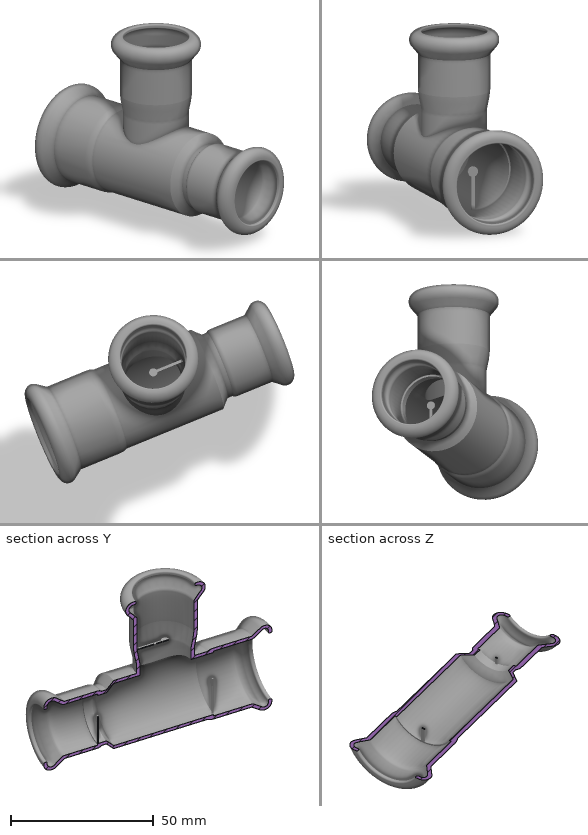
import cadquery as cq
import math

LEFT_END = 42.0
RIGHT_END = 48.0
BRANCH_END = 46.7

TUBE_OD = 30.0
TUBE_BORE = 27.0
BRANCH_OD = 23.0
BRANCH_BORE = 20.0
NECK_OD = 24.0
NECK_BORE = 20.9

NECK_START = 22.8
REDUCER_NARROW_END = 24.7
REDUCER_WIDE_END = 27.6
BRANCH_TAPER_END = 28.7

LARGE_PORT = dict(
    socket_od=31.3, bore=28.2, lip=28.8, rim_od=37.2, rim_end=8.0, stop=22.9,
)
SMALL_PORT = dict(
    socket_od=25.3, bore=22.2, lip=23.1, rim_od=31.6, rim_end=8.1, stop=21.2,
)
LARGE_SHOULDER_END = 25.6
RIM_WALL = 1.5
LIP_ROUND = 0.5
BORE_ENTRY_ROUND = 1.5

MARKER_THICKNESS = 0.5
LARGE_MARKER_DISC = 3.7
LARGE_MARKER_STEM = 1.35
SMALL_MARKER_DISC = 2.9
SMALL_MARKER_STEM = 0.95


def revolve_profile(profile):
    """Close a (depth, radius) profile and turn it about the depth axis."""
    return profile.close().revolve(360, (0, 0, 0), (1, 0, 0))


def cone(start, start_diameter, end, end_diameter):
    """Cone, or cylinder for equal diameters, along the depth axis."""
    profile = cq.Workplane("XY").moveTo(start, 0).lineTo(start, start_diameter / 2)
    return revolve_profile(profile.lineTo(end, end_diameter / 2).lineTo(end, 0))


def to_left(shape):
    return shape.translate((-LEFT_END, 0, 0))


def to_right(shape):
    return shape.rotate((0, 0, 0), (0, 0, 1), 180).translate((RIGHT_END, 0, 0))


def to_branch(shape):
    return shape.rotate((0, 0, 0), (0, 1, 0), 90).translate((0, 0, BRANCH_END))


def rim_geometry(port):
    """Radius of the rolled rim, and the angle on it (from the depth axis) where its cone starts."""
    rim_radius = (port["rim_od"] - port["socket_od"]) / 2
    tangent_angle = math.acos(rim_radius / (port["rim_end"] - rim_radius))
    return rim_radius, tangent_angle


def socket_outside(port):
    """Rolled rim, the cone behind it, and the plain socket up to the pipe stop."""
    rim_radius, angle = rim_geometry(port)
    socket_radius = port["socket_od"] / 2
    profile = (
        cq.Workplane("XY")
        .lineTo(0, socket_radius)
        .threePointArc(
            (rim_radius, socket_radius + rim_radius),
            (rim_radius * (1 + math.cos(angle)), socket_radius + rim_radius * math.sin(angle)),
        )
        .lineTo(port["rim_end"], socket_radius)
        .lineTo(port["stop"], socket_radius)
        .lineTo(port["stop"], 0)
    )
    return revolve_profile(profile)


def shoulder(port, end, end_diameter):
    """Step from the socket to the narrower tube, rounded by an arc tangent to the socket."""
    socket_radius = port["socket_od"] / 2
    length = end - port["stop"]
    drop = socket_radius - end_diameter / 2
    arc_radius = (length**2 + drop**2) / (2 * drop)
    half_angle = math.asin(length / arc_radius) / 2
    arc_middle = (
        port["stop"] + arc_radius * math.sin(half_angle),
        socket_radius - arc_radius * (1 - math.cos(half_angle)),
    )
    profile = (
        cq.Workplane("XY")
        .moveTo(port["stop"], 0)
        .lineTo(port["stop"], socket_radius)
        .threePointArc(arc_middle, (end, end_diameter / 2))
        .lineTo(end, 0)
    )
    return revolve_profile(profile)


def smooth_taper(start, start_diameter, end, end_diameter):
    """S-shaped taper, parallel to the depth axis at both ends."""
    profile = (
        cq.Workplane("XY")
        .moveTo(start, start_diameter / 2)
        .spline([(end, end_diameter / 2)], tangents=[(1, 0), (1, 0)], includeCurrent=True)
        .lineTo(end, 0)
        .lineTo(start, 0)
    )
    return revolve_profile(profile)


def socket_passage(port):
    """Rounded lip, seal groove parallel to the rim, and bore up to the pipe stop."""
    rim_radius, angle = rim_geometry(port)
    socket_radius = port["socket_od"] / 2
    lip_radius = port["lip"] / 2
    bore_radius = port["bore"] / 2
    groove_radius = rim_radius - RIM_WALL

    groove_end = rim_radius + groove_radius * math.cos(angle)
    groove_end_radius = socket_radius + groove_radius * math.sin(angle)
    slope = math.pi / 2 - angle
    bore_start = groove_end + (groove_end_radius - bore_radius) / math.tan(slope)
    trim = BORE_ENTRY_ROUND * math.tan(slope / 2)

    round_offset = LIP_ROUND * (1 - math.sqrt(0.5))
    profile = (
        cq.Workplane("XY")
        .lineTo(0, lip_radius + LIP_ROUND)
        .threePointArc((round_offset, lip_radius + round_offset), (LIP_ROUND, lip_radius))
        .lineTo(RIM_WALL - LIP_ROUND, lip_radius)
        .threePointArc(
            (RIM_WALL - round_offset, lip_radius + round_offset),
            (RIM_WALL, lip_radius + LIP_ROUND),
        )
        .lineTo(RIM_WALL, socket_radius)
        .threePointArc((rim_radius, socket_radius + groove_radius), (groove_end, groove_end_radius))
        .lineTo(bore_start - trim * math.cos(slope), bore_radius + trim * math.sin(slope))
        .tangentArcPoint((bore_start + trim, bore_radius), relative=False)
        .lineTo(port["stop"], bore_radius)
        .lineTo(port["stop"], 0)
    )
    return revolve_profile(profile)


def stop_marker(port, disc_diameter, stem_width):
    """Thin disc and stem just behind the pipe stop; the stem points to local -Z."""
    disc = cone(port["stop"], disc_diameter, port["stop"] + MARKER_THICKNESS, disc_diameter)
    stem = cq.Workplane("XY").box(
        MARKER_THICKNESS, stem_width, port["bore"] / 2, centered=(False, True, False)
    )
    return disc.union(stem.translate((port["stop"], 0, -port["bore"] / 2)))


reducer_start = LEFT_END + RIGHT_END - REDUCER_WIDE_END
branch_stop = SMALL_PORT["stop"]
outside = (
    to_left(socket_outside(LARGE_PORT))
    .union(to_left(shoulder(LARGE_PORT, LARGE_SHOULDER_END, TUBE_OD)))
    .union(to_left(cone(LARGE_SHOULDER_END, TUBE_OD, reducer_start, TUBE_OD)))
    .union(to_right(cone(REDUCER_NARROW_END, NECK_OD, REDUCER_WIDE_END, TUBE_OD)))
    .union(to_right(cone(NECK_START, NECK_OD, REDUCER_NARROW_END, NECK_OD)))
    .union(to_right(shoulder(SMALL_PORT, NECK_START, NECK_OD)))
    .union(to_right(socket_outside(SMALL_PORT)))
    .union(to_branch(socket_outside(SMALL_PORT)))
    .union(to_branch(smooth_taper(branch_stop, SMALL_PORT["socket_od"], BRANCH_TAPER_END, BRANCH_OD)))
    .union(to_branch(cone(BRANCH_TAPER_END, BRANCH_OD, BRANCH_END, BRANCH_OD)))
)

passage = (
    to_left(socket_passage(LARGE_PORT))
    .union(to_left(cone(LARGE_PORT["stop"], TUBE_BORE, reducer_start, TUBE_BORE)))
    .union(to_right(cone(REDUCER_NARROW_END, NECK_BORE, REDUCER_WIDE_END, TUBE_BORE)))
    .union(to_right(cone(SMALL_PORT["stop"], NECK_BORE, REDUCER_NARROW_END, NECK_BORE)))
    .union(to_right(socket_passage(SMALL_PORT)))
    .union(to_branch(socket_passage(SMALL_PORT)))
    .union(to_branch(smooth_taper(branch_stop, SMALL_PORT["bore"], BRANCH_TAPER_END, BRANCH_BORE)))
    .union(to_branch(cone(BRANCH_TAPER_END, BRANCH_BORE, BRANCH_END, BRANCH_BORE)))
)

fitting = outside.cut(passage).solids()

small_marker = stop_marker(SMALL_PORT, SMALL_MARKER_DISC, SMALL_MARKER_STEM)
branch_marker = small_marker.rotate((0, 0, 0), (1, 0, 0), 180)
placed_markers = [
    to_left(stop_marker(LARGE_PORT, LARGE_MARKER_DISC, LARGE_MARKER_STEM)),
    to_right(small_marker),
    to_branch(branch_marker),
]
markers = [marker.intersect(passage).solids() for marker in placed_markers]

result = cq.Compound.makeCompound([fitting.val(), *[marker.val() for marker in markers]])